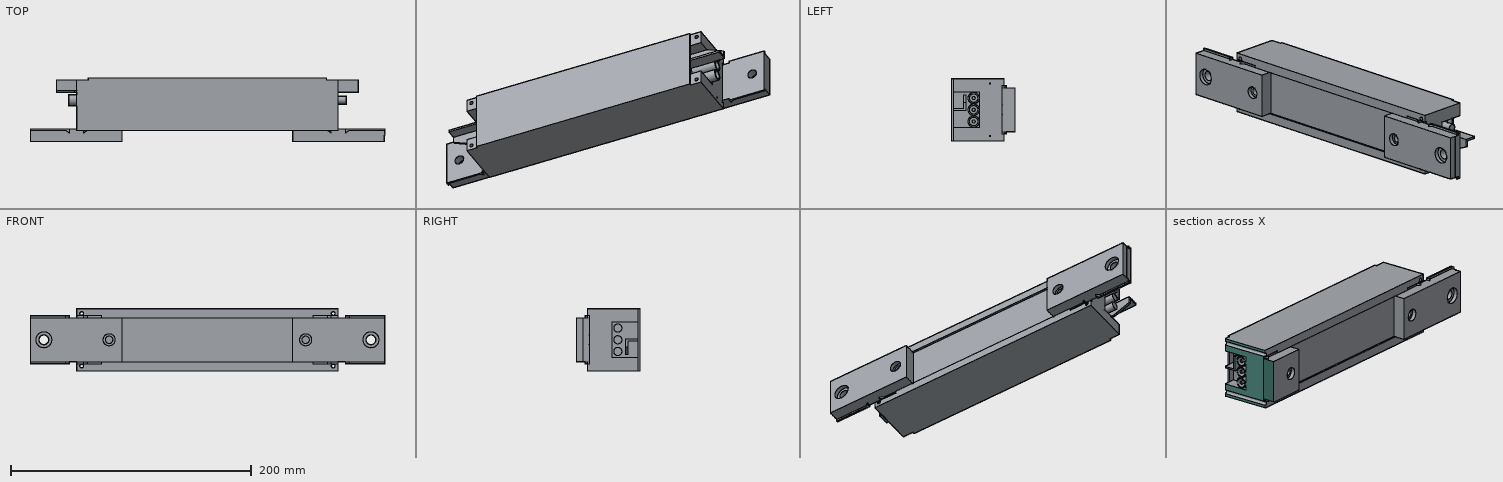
import cadquery as cq


HOUSING_LENGTH = 217.5
HOUSING_HEIGHT = 52.0
HOUSING_FRONT = 9.0
HOUSING_BACK = 51.3
PANEL_LENGTH = 198.2
PANEL_THICKNESS = 1.8
SCREW_HOLE_DIAMETER = 3.0
SCREW_HOLE_INSET = 4.0
END_HOLE_DIAMETER = 1.0
END_HOLE_Y = 21.0

PLATE_LENGTH = 76.5
PLATE_HEIGHT = 36.5
PLATE_SEAT_DEPTH = 1.62
PLATE_BACK = HOUSING_FRONT + PLATE_SEAT_DEPTH
PLATE_OUTER_X = 147.2
MOUNT_HOLE_X = 136.0
MOUNT_HOLE_DIAMETER = 8.0
MOUNT_BORE_DIAMETER = 13.3
FIXING_HOLE_X = 81.7
FIXING_HOLE_DIAMETER = 6.2
FIXING_BORE_DIAMETER = 10.0
COUNTERBORE_DEPTH = 3.5

WING_HEIGHT = 40.0
WING_THICKNESS = 1.33
WING_LIP_THICKNESS = 3.5
WING_RAMP_LENGTH = 3.2
OUTER_WING_INNER_X = 114.8
INNER_WING_OUTER_X = 103.0
INNER_WING_INNER_X = 88.0
END_CAP_THICKNESS = 0.5
END_CAP_WIDTH = 5.3

CONTACT_PITCH = 9.7
CONTACT_COUNT = 3
CONTACT_Y = 34.5
SLOT_WIDTH = CONTACT_COUNT * CONTACT_PITCH
SLOT_DEPTH = 14.8
SLOT_BOTTOM = CONTACT_Y - CONTACT_PITCH / 2
CONTACT_PROTRUSION = 6.8
SLEEVE_DIAMETER = 9.5
SLEEVE_BORE = 7.0
CORE_DIAMETER = 2.7
PLUG_DIAMETER = 6.8

LATCH_PROTRUSION = 16.8
LATCH_RAMP_LENGTH = 15.0
LATCH_THICKNESS = 1.8
LATCH_FRONT = 41.0
LATCH_BASE_Z = -0.5
LATCH_HEIGHT = 13.0
LATCH_TIP_HEIGHT = 6.8

HALF_LENGTH = HOUSING_LENGTH / 2
SLOT_FLOOR_X = HALF_LENGTH - SLOT_DEPTH


def block(x0, x1, y0, y1, z0, z1):
    """Box between two opposite corners."""
    return cq.Workplane("XY").box(x1 - x0, y1 - y0, z1 - z0, centered=False).translate((x0, y0, z0))


def centred_block(x0, x1, y0, y1, height):
    """Box centred on Z = 0."""
    return block(x0, x1, y0, y1, -height / 2, height / 2)


def rod_along_x(diameter, x0, x1, z):
    """Contact-axis cylinder between two X positions."""
    return cq.Workplane("YZ", origin=(x0, CONTACT_Y, z)).circle(diameter / 2).extrude(x1 - x0)


def bore_along_y(diameter, x, z, y0, y1):
    """Cylinder parallel to Y, used for cutting holes."""
    return cq.Workplane("XZ", origin=(x, y1, z)).circle(diameter / 2).extrude(y1 - y0)


def contact_heights():
    """Z of each contact axis."""
    return [(i - (CONTACT_COUNT - 1) / 2) * CONTACT_PITCH for i in range(CONTACT_COUNT)]


def latch():
    """L-section latch arm at the -X end, its upright leg sloping down to the tip."""
    tip_x = -HALF_LENGTH - LATCH_PROTRUSION
    base_top = LATCH_BASE_Z + LATCH_THICKNESS
    base = block(tip_x, -SLOT_FLOOR_X, LATCH_FRONT, HOUSING_BACK, LATCH_BASE_Z, base_top)
    upright = (
        cq.Workplane("XZ", origin=(0, LATCH_FRONT + LATCH_THICKNESS, 0))
        .moveTo(tip_x, LATCH_BASE_Z)
        .lineTo(tip_x, LATCH_BASE_Z + LATCH_TIP_HEIGHT)
        .lineTo(tip_x + LATCH_RAMP_LENGTH, LATCH_BASE_Z + LATCH_HEIGHT)
        .lineTo(-SLOT_FLOOR_X, LATCH_BASE_Z + LATCH_HEIGHT)
        .lineTo(-SLOT_FLOOR_X, LATCH_BASE_Z)
        .close()
        .extrude(LATCH_THICKNESS)
    )
    return base.union(upright)


def socket_contact(z):
    """Hollow sleeve with a thin core pin that stops level with the housing end, at the -X end."""
    tip_x = -HALF_LENGTH - CONTACT_PROTRUSION
    sleeve = rod_along_x(SLEEVE_DIAMETER, tip_x, -SLOT_FLOOR_X, z)
    sleeve = sleeve.cut(rod_along_x(SLEEVE_BORE, tip_x, -SLOT_FLOOR_X, z))
    return sleeve.union(rod_along_x(CORE_DIAMETER, -HALF_LENGTH, -SLOT_FLOOR_X, z))


def plug_contact(z):
    """Plain round plug, at the +X end."""
    return rod_along_x(PLUG_DIAMETER, SLOT_FLOOR_X, HALF_LENGTH + CONTACT_PROTRUSION, z)


def make_housing():
    """Housing with back panel, plate seat, end slots, contacts and latches."""
    body = centred_block(-HALF_LENGTH, HALF_LENGTH, HOUSING_FRONT, HOUSING_BACK, HOUSING_HEIGHT)
    panel_back = HOUSING_BACK + PANEL_THICKNESS
    panel_end = PANEL_LENGTH / 2
    body = body.union(centred_block(-panel_end, panel_end, HOUSING_BACK, panel_back, HOUSING_HEIGHT))

    body = body.cut(centred_block(-HALF_LENGTH, HALF_LENGTH, HOUSING_FRONT, PLATE_BACK, PLATE_HEIGHT))
    for x0, x1 in ((-HALF_LENGTH, -INNER_WING_INNER_X), (INNER_WING_INNER_X, HALF_LENGTH)):
        body = body.cut(centred_block(x0, x1, HOUSING_FRONT, PLATE_BACK, WING_HEIGHT))

    for x0, x1 in ((-HALF_LENGTH, -SLOT_FLOOR_X), (SLOT_FLOOR_X, HALF_LENGTH)):
        body = body.cut(centred_block(x0, x1, SLOT_BOTTOM, HOUSING_BACK, SLOT_WIDTH))

    hole_x = HALF_LENGTH - SCREW_HOLE_INSET
    hole_z = HOUSING_HEIGHT / 2 - SCREW_HOLE_INSET
    for x in (-hole_x, hole_x):
        for z in (-hole_z, hole_z):
            body = body.cut(bore_along_y(SCREW_HOLE_DIAMETER, x, z, HOUSING_FRONT, panel_back))

    for z in (-hole_z, hole_z):
        hole = cq.Workplane("YZ", origin=(-HALF_LENGTH, END_HOLE_Y, z)).circle(END_HOLE_DIAMETER / 2)
        body = body.cut(hole.extrude(SCREW_HOLE_INSET))

    for z in contact_heights():
        body = body.union(socket_contact(z)).union(plug_contact(z))

    left_latch = latch()
    right_latch = left_latch.rotate((0, 0, 0), (0, 1, 0), 180)
    return body.union(left_latch).union(right_latch)


def wing(far_x, gap_x):
    """Flange from far_x to gap_x, ramping up to a thicker lip at gap_x."""
    toward_far = 1 if far_x > gap_x else -1
    ramp_x = gap_x + toward_far * WING_RAMP_LENGTH
    return (
        cq.Workplane("XY", origin=(0, 0, -WING_HEIGHT / 2))
        .moveTo(far_x, PLATE_BACK)
        .lineTo(gap_x, PLATE_BACK)
        .lineTo(gap_x, PLATE_BACK - WING_LIP_THICKNESS)
        .lineTo(ramp_x, PLATE_BACK - WING_THICKNESS)
        .lineTo(far_x, PLATE_BACK - WING_THICKNESS)
        .close()
        .extrude(WING_HEIGHT)
    )


def counterbored_hole(x, diameter, bore_diameter):
    """Cutter for a through hole counterbored from the front."""
    hole = bore_along_y(diameter, x, 0, 0, PLATE_BACK)
    return hole.union(bore_along_y(bore_diameter, x, 0, 0, COUNTERBORE_DEPTH))


def make_plate(side):
    """Mounting plate at the -X end (side = -1) or the +X end (side = 1)."""
    plate = centred_block(PLATE_OUTER_X - PLATE_LENGTH, PLATE_OUTER_X, 0, PLATE_BACK, PLATE_HEIGHT)
    plate = plate.union(wing(PLATE_OUTER_X, OUTER_WING_INNER_X))
    plate = plate.union(wing(INNER_WING_INNER_X, INNER_WING_OUTER_X))
    if side > 0:
        cap_x = PLATE_OUTER_X + END_CAP_THICKNESS
        cap = centred_block(PLATE_OUTER_X, cap_x, PLATE_BACK - END_CAP_WIDTH, PLATE_BACK, PLATE_HEIGHT)
        ears = centred_block(PLATE_OUTER_X, cap_x, PLATE_BACK - WING_LIP_THICKNESS, PLATE_BACK, WING_HEIGHT)
        plate = plate.union(cap).union(ears)
    plate = plate.cut(counterbored_hole(MOUNT_HOLE_X, MOUNT_HOLE_DIAMETER, MOUNT_BORE_DIAMETER))
    plate = plate.cut(counterbored_hole(FIXING_HOLE_X, FIXING_HOLE_DIAMETER, FIXING_BORE_DIAMETER))
    return plate if side > 0 else plate.mirror("YZ")


housing = make_housing()
plates = [make_plate(side) for side in (-1, 1)]

result = cq.Compound.makeCompound([housing.val(), *[plate.val() for plate in plates]])